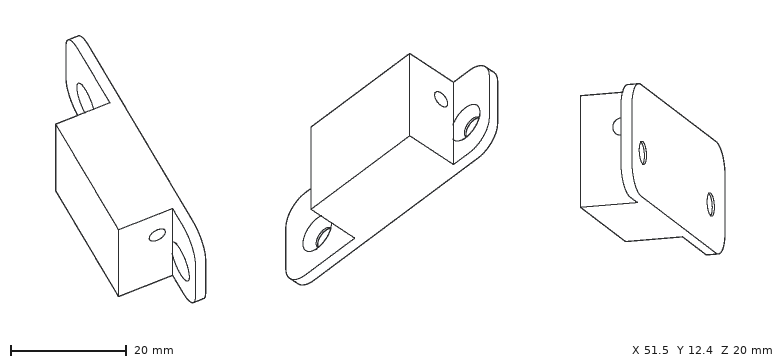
import cadquery as cq

plate_length = 51.5
plate_height = 20.0
plate_thickness = 2.0
corner_radius = 5.0

total_depth = 12.4
block_depth = total_depth - plate_thickness
block_start = 17.45
block_length = 25.0

screw_hole_diameter = 4.0
countersink_diameter = 7.25
countersink_angle = 90
screw_height = 8.0
left_screw_x = 8.0
right_screw_x = plate_length - 6.0

cross_hole_diameter = 3.1
cross_hole_from_back = 4.95
cross_hole_from_top = 6.15


def make_plate():
    return (
        cq.Workplane("XY")
        .box(plate_length, plate_thickness, plate_height, centered=False)
        .translate((0, -plate_thickness, 0))
        .edges("|Y")
        .fillet(corner_radius)
    )


def drill_screw_holes(plate):
    centers = [(left_screw_x, screw_height), (right_screw_x, screw_height)]
    return (
        plate.faces("<Y")
        .workplane(origin=(0, -plate_thickness, 0))
        .pushPoints(centers)
        .cskHole(screw_hole_diameter, countersink_diameter, countersink_angle)
    )


def make_block():
    block = (
        cq.Workplane("XY")
        .box(block_length, block_depth, plate_height, centered=False)
        .translate((block_start, -total_depth, 0))
    )
    cross_hole = (
        cq.Workplane("YZ", origin=(block_start, 0, 0))
        .center(-cross_hole_from_back, plate_height - cross_hole_from_top)
        .circle(cross_hole_diameter / 2)
        .extrude(block_length)
    )
    return block.cut(cross_hole)


result = drill_screw_holes(make_plate()).union(make_block())